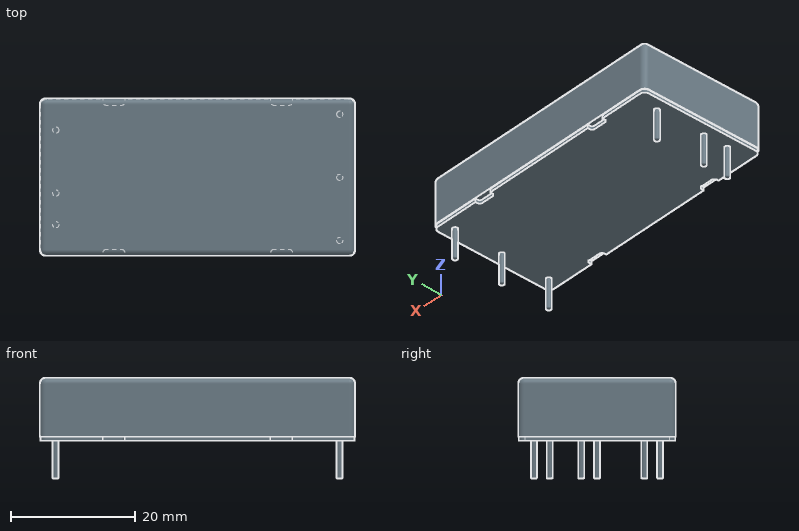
import cadquery as cq

case_length = 50.8
case_width = 25.4
overall_height = 16.3
pin_length = 6.1
case_height = overall_height - pin_length
edge_radius = 1.0

base_thickness = 0.7
base_inset = 0.1
base_length = case_length - 2 * base_inset
base_width = case_width - 2 * base_inset

notch_width = 3.5
notch_depth = 1.0
notch_corner_radius = 0.5
notch_offset = 13.5

pitch = 2.54
pin_diameter = 1.0
pin_tip_radius = 0.25
pin_row_x = 9 * pitch
left_pin_rows = (3, -1, -3)
right_pin_rows = (4, 0, -4)


def make_cover():
    """Block with rounded upright corners and a rounded top rim."""
    height = case_height - base_thickness
    block = cq.Workplane("XY", origin=(0, 0, base_thickness)).box(
        case_length, case_width, height, centered=(True, True, False)
    )
    return block.edges("|Z or >Z").fillet(edge_radius)


def make_notch(x, side):
    """Cutter for one base notch, rounded at its inner corners; side is -1 or +1 along Y."""
    cutter = (
        cq.Workplane("XY")
        .center(x, side * base_width / 2)
        .rect(notch_width, 2 * notch_depth)
        .extrude(base_thickness)
    )
    return cutter.edges("|Z").fillet(notch_corner_radius)


def make_base():
    """Thin plate, slightly smaller than the cover, with two notches in each long edge."""
    plate = cq.Workplane("XY").rect(base_length, base_width).extrude(base_thickness)
    plate = plate.edges("|Z").fillet(edge_radius)
    for x in (-notch_offset, notch_offset):
        for side in (-1, 1):
            plate = plate.cut(make_notch(x, side))
    return plate


def make_pin(x, row):
    """Pin hanging below the base plate, with a rounded tip edge."""
    pin = cq.Workplane("XY").center(x, row * pitch).circle(pin_diameter / 2).extrude(-pin_length)
    return pin.faces("<Z").edges().fillet(pin_tip_radius)


result = make_cover().union(make_base())
for x, rows in ((-pin_row_x, left_pin_rows), (pin_row_x, right_pin_rows)):
    for row in rows:
        result = result.union(make_pin(x, row))